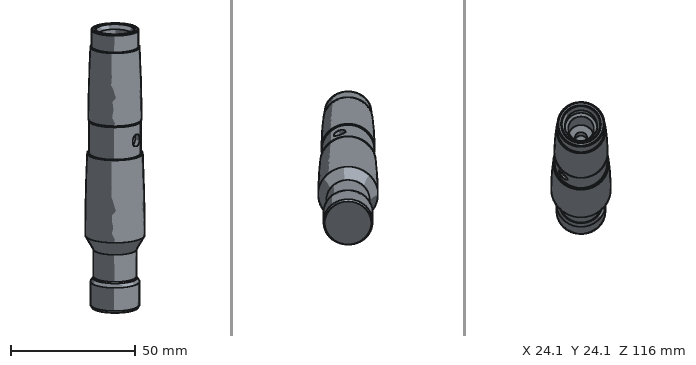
import cadquery as cq

total_height = 116.0
cap_top = 12.9
neck_top = 24.1
lower_grip_bottom = 30.0
lower_grip_top = 64.4
band_top = 77.7
collar_bottom = 108.8

base_radius = 19.8 / 2
neck_radius = 17.5 / 2
lower_grip_bottom_radius = 24.1 / 2
lower_grip_top_radius = 22.5 / 2
grip_bulge = 0.17
band_radius = 21.0 / 2
upper_grip_bottom_radius = 21.6 / 2
upper_grip_top_radius = 20.0 / 2
collar_radius = 19.0 / 2

base_chamfer = 0.6
base_chamfer_height = 1.0
cap_bevel_height = 0.9
cap_flare_height = 0.7
cap_flare = 0.1
cap_shoulder_height = 1.3
cap_shoulder_radius = 18.6 / 2
neck_lip_height = 0.6
neck_lip = 0.2
grip_top_chamfer = 0.3
grip_top_chamfer_height = 0.2
upper_grip_lip_height = 0.7
upper_grip_top_chamfer = 0.3
rim_radius = 18.1 / 2
rim_chamfer_height = 0.3

mouth_radius = 16.1 / 2
countersink_radius = 15.3 / 2
countersink_start_depth = 0.2
countersink_depth = 2.0
socket_radius = 13.0 / 2
socket_depth = 5.5
ledge_depth = 6.0
bore_radius = 10.3 / 2
bore_depth = 17.4
pilot_radius = 5.0 / 2
floor_slope = (ledge_depth - socket_depth) / (socket_radius - bore_radius)
pilot_start_depth = bore_depth + floor_slope * (bore_radius - pilot_radius)
pilot_depth = 23.2
pilot_tip_depth = pilot_depth + floor_slope * pilot_radius

recess_radius = 5.0 / 2
recess_depth = 2.3
recess_height = 71.1


def bulged_line(profile, end_radius, end_height, start_radius, start_height):
    """Continue the profile along a slightly convex arc to its end point."""
    middle = ((start_radius + end_radius) / 2 + grip_bulge, (start_height + end_height) / 2)
    return profile.threePointArc(middle, (end_radius, end_height))


def revolve_about_z(profile):
    """Close a half profile drawn in the XZ plane and revolve it about the Z axis."""
    return profile.close().revolve(360, (0, 0, 0), (0, 1, 0))


def make_end_cap():
    """Cap at the bottom end, flared out from the neck to the base."""
    shoulder_height = cap_top - cap_shoulder_height
    bevel_bottom = shoulder_height - cap_bevel_height
    profile = (
        cq.Workplane("XZ")
        .lineTo(base_radius - base_chamfer, 0)
        .lineTo(base_radius, base_chamfer_height)
        .lineTo(base_radius, bevel_bottom)
        .lineTo(cap_shoulder_radius, shoulder_height)
        .lineTo(neck_radius + cap_flare, cap_top - cap_flare_height)
        .lineTo(neck_radius, cap_top)
        .lineTo(0, cap_top)
    )
    return revolve_about_z(profile)


def make_handle_blank():
    """Solid outer form of the handle: neck, lower grip, band, upper grip and collar."""
    grip_edge_height = lower_grip_top - grip_top_chamfer_height
    grip_top_edge = collar_bottom - upper_grip_top_chamfer
    upper_grip_bottom = band_top + upper_grip_lip_height
    profile = (
        cq.Workplane("XZ")
        .moveTo(0, cap_top)
        .lineTo(neck_radius, cap_top)
        .lineTo(neck_radius, neck_top)
        .lineTo(neck_radius + neck_lip, neck_top + neck_lip_height)
        .lineTo(lower_grip_bottom_radius, lower_grip_bottom)
    )
    profile = bulged_line(
        profile, lower_grip_top_radius, grip_edge_height, lower_grip_bottom_radius, lower_grip_bottom
    )
    profile = (
        profile.lineTo(lower_grip_top_radius - grip_top_chamfer, lower_grip_top)
        .lineTo(band_radius, lower_grip_top)
        .lineTo(band_radius, band_top)
        .lineTo(upper_grip_bottom_radius, upper_grip_bottom)
    )
    profile = bulged_line(
        profile, upper_grip_top_radius, grip_top_edge, upper_grip_bottom_radius, upper_grip_bottom
    )
    profile = (
        profile.lineTo(collar_radius, collar_bottom)
        .lineTo(collar_radius, total_height - rim_chamfer_height)
        .lineTo(rim_radius, total_height)
        .lineTo(0, total_height)
    )
    return revolve_about_z(profile)


def make_bore():
    """Tool body for the stepped bore that opens at the top rim."""
    profile = (
        cq.Workplane("XZ")
        .moveTo(0, total_height)
        .lineTo(mouth_radius, total_height)
        .lineTo(countersink_radius, total_height - countersink_start_depth)
        .lineTo(socket_radius, total_height - countersink_depth)
        .lineTo(socket_radius, total_height - socket_depth)
        .lineTo(bore_radius, total_height - ledge_depth)
        .lineTo(bore_radius, total_height - bore_depth)
        .lineTo(pilot_radius, total_height - pilot_start_depth)
        .lineTo(pilot_radius, total_height - pilot_depth)
        .lineTo(0, total_height - pilot_tip_depth)
    )
    return revolve_about_z(profile)


def make_side_recess():
    """Tool body for the round recess in the side of the band."""
    return (
        cq.Workplane("YZ", origin=(band_radius - recess_depth, 0, recess_height))
        .circle(recess_radius)
        .extrude(recess_depth * 2)
    )


end_cap = make_end_cap()
handle = make_handle_blank().cut(make_bore()).cut(make_side_recess())

result = cq.Compound.makeCompound([end_cap.val(), handle.val()])